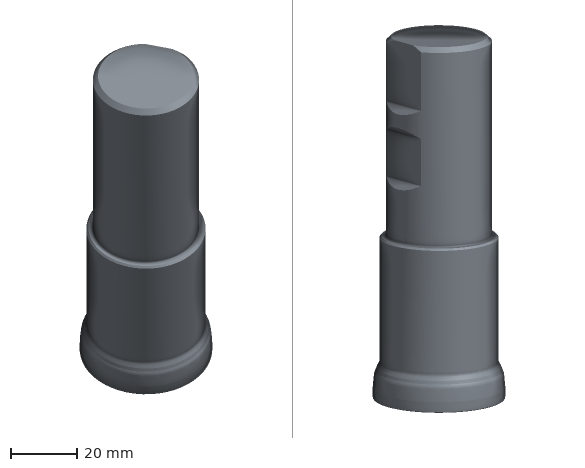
import cadquery as cq
import math

total_height = 112.0

base_radius = 40.0 / 2
base_height = 8.6
base_neck_radius = 19.2
base_full_radius_z = 3.4
base_shoulder_radius = 19.6
base_shoulder_z = 7.5
base_bottom_round = 0.3

flare_lower_radius = 18.8
flare_lower_z = 9.6
flare_upper_radius = 18.1
flare_upper_z = 10.9
collar_bottom_z = 11.9

collar_radius = 36.0 / 2
collar_top_z = 50.3
collar_chamfer = 0.6

shank_radius = 32.0 / 2
shank_root_fillet = 0.6
shank_top_chamfer_radial = 1.6
shank_top_chamfer_height = 1.5

flat_distance = 13.8
flat_depth = shank_radius - flat_distance
upper_flat_bottom_z = 92.4
lower_flat_top_z = 83.7
lower_flat_bottom_z = 69.1
cut_margin = 1.1


def make_base():
    """Round base whose straight side curves smoothly over the shoulder."""
    profile = (
        cq.Workplane("XZ")
        .lineTo(base_radius - base_bottom_round, 0)
        .tangentArcPoint((base_radius, base_bottom_round), relative=False)
        .lineTo(base_radius, base_full_radius_z)
        .tangentArcPoint((base_shoulder_radius, base_shoulder_z), relative=False)
        .tangentArcPoint((base_neck_radius, base_height), relative=False)
        .lineTo(0, base_height)
        .close()
    )
    return profile.revolve(360, (0, 0, 0), (0, 1, 0))


def make_holder_blank():
    """Turned holder: flared foot, collar and shank."""
    root_mid_offset = shank_root_fillet * (1 - math.sqrt(0.5))
    profile = (
        cq.Workplane("XZ")
        .moveTo(0, base_height)
        .lineTo(base_neck_radius, base_height)
        .lineTo(flare_lower_radius, flare_lower_z)
        .lineTo(flare_upper_radius, flare_upper_z)
        .tangentArcPoint((collar_radius, collar_bottom_z), relative=False)
        .lineTo(collar_radius, collar_top_z - collar_chamfer)
        .lineTo(collar_radius - collar_chamfer, collar_top_z)
        .lineTo(shank_radius + shank_root_fillet, collar_top_z)
        .threePointArc(
            (shank_radius + root_mid_offset, collar_top_z + root_mid_offset),
            (shank_radius, collar_top_z + shank_root_fillet),
        )
        .lineTo(shank_radius, total_height - shank_top_chamfer_height)
        .lineTo(shank_radius - shank_top_chamfer_radial, total_height)
        .lineTo(0, total_height)
        .close()
    )
    return profile.revolve(360, (0, 0, 0), (0, 1, 0))


def make_flat_cutter(bottom_z, top_z, top_slope):
    """Cutter for a flat; its ends slope outward at 45 degrees, the top end only if top_slope is set."""
    outer_y = shank_radius + cut_margin
    slope_run = flat_depth + cut_margin
    outer_top_z = top_z + slope_run if top_slope else top_z
    return (
        cq.Workplane("YZ")
        .moveTo(flat_distance, bottom_z)
        .lineTo(outer_y, bottom_z - slope_run)
        .lineTo(outer_y, outer_top_z)
        .lineTo(flat_distance, top_z)
        .close()
        .extrude(shank_radius, both=True)
    )


def make_holder():
    """Holder with the open upper flat and the closed lower flat."""
    upper_flat = make_flat_cutter(upper_flat_bottom_z, total_height + cut_margin, False)
    lower_flat = make_flat_cutter(lower_flat_bottom_z, lower_flat_top_z, True)
    return make_holder_blank().cut(upper_flat).cut(lower_flat)


base = make_base()
holder = make_holder()

result = cq.Compound.makeCompound([base.val(), holder.val()])